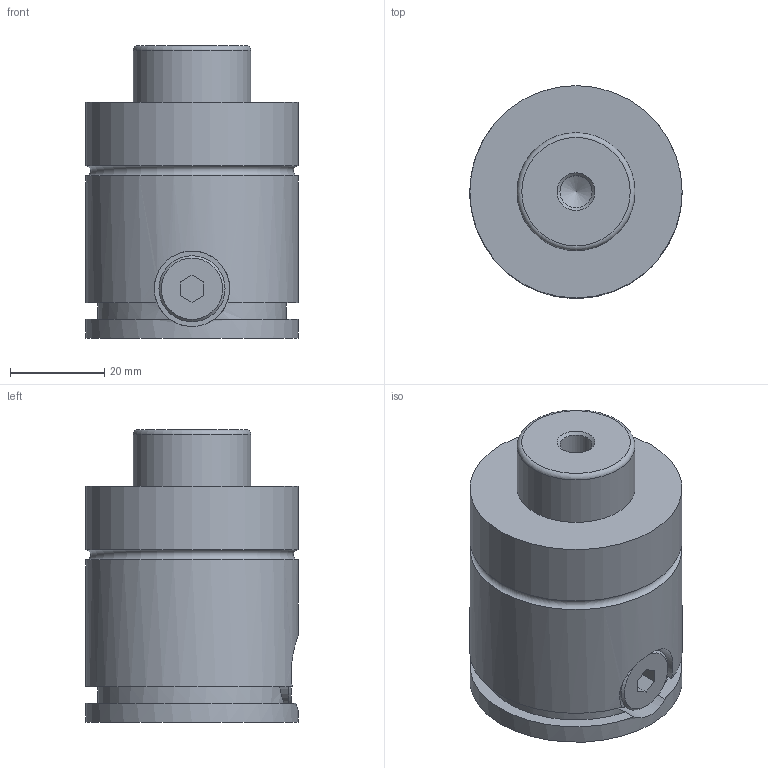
import cadquery as cq
import math

body_diameter = 45.0
post_diameter = 25.0
neck_diameter = 40.0
total_height = 62.0
shoulder_height = 50.0
flange_height = 4.0
neck_top_height = 7.5
post_fillet = 1.0

groove_bottom_height = 34.4
groove_width = 2.2
groove_depth = 1.0

hole_diameter = 6.8
hole_mouth_diameter = 8.0
hole_depth = 15.0
drill_point_angle = 118.0

recess_diameter = 16.0
recess_height = 10.5
recess_floor_distance = 17.0
plug_diameter = 14.0
plug_face_distance = 21.0
plug_chamfer = 0.5
socket_across_flats = 5.0
socket_depth = 4.0
socket_sides = 6


def facing_front(distance):
    """Workplane facing -Y at a distance from the axis, centred on the recess."""
    return cq.Workplane("XZ", origin=(0, -distance, recess_height))


def make_body():
    body_radius = body_diameter / 2
    neck_radius = neck_diameter / 2
    post_radius = post_diameter / 2
    groove_radius = body_radius - groove_depth
    profile = (
        cq.Workplane("XZ")
        .lineTo(body_radius, 0)
        .lineTo(body_radius, flange_height)
        .lineTo(neck_radius, flange_height)
        .lineTo(neck_radius, neck_top_height)
        .lineTo(body_radius, neck_top_height)
        .lineTo(body_radius, groove_bottom_height)
        .threePointArc(
            (groove_radius, groove_bottom_height + groove_width / 2),
            (body_radius, groove_bottom_height + groove_width),
        )
        .lineTo(body_radius, shoulder_height)
        .lineTo(post_radius, shoulder_height)
        .lineTo(post_radius, total_height)
        .lineTo(0, total_height)
        .close()
    )
    body = profile.revolve(360, (0, 0, 0), (0, 1, 0))
    return body.faces(">Z").edges().fillet(post_fillet)


def make_hole():
    hole_radius = hole_diameter / 2
    mouth_radius = hole_mouth_diameter / 2
    chamfer = mouth_radius - hole_radius
    bottom = total_height - hole_depth
    point_length = hole_radius / math.tan(math.radians(drill_point_angle / 2))
    profile = (
        cq.Workplane("XZ")
        .moveTo(0, total_height)
        .lineTo(mouth_radius, total_height)
        .lineTo(hole_radius, total_height - chamfer)
        .lineTo(hole_radius, bottom)
        .lineTo(0, bottom - point_length)
        .close()
    )
    return profile.revolve(360, (0, 0, 0), (0, 1, 0))


def make_recess():
    depth = body_diameter / 2 - recess_floor_distance
    return facing_front(recess_floor_distance).circle(recess_diameter / 2).extrude(depth)


def make_plug():
    length = plug_face_distance - recess_floor_distance
    socket_across_corners = socket_across_flats / math.cos(math.pi / socket_sides)
    plug = facing_front(recess_floor_distance).circle(plug_diameter / 2).extrude(length)
    plug = plug.faces("<Y").chamfer(plug_chamfer)
    socket = (
        facing_front(plug_face_distance)
        .transformed(rotate=(0, 0, 90))
        .polygon(socket_sides, socket_across_corners)
        .extrude(-socket_depth)
    )
    return plug.cut(socket)


result = make_body().cut(make_hole()).cut(make_recess()).union(make_plug())